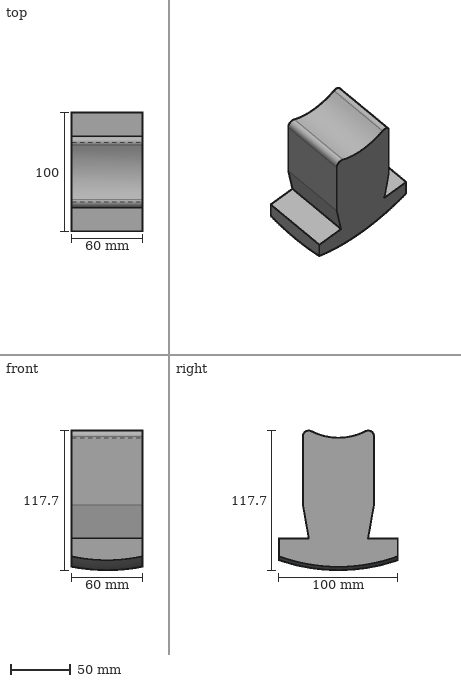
import cadquery as cq
import math

length_x = 60.0
flange_width = 100.0
height = 117.7
body_width = 60.0
neck_width = 50.0
flange_top = 26.8
neck_taper_angle = 10.0
saddle_radius = 50.0
lip_radius = 5.0
base_sphere_radius = 150.0

half_body = body_width / 2
half_neck = neck_width / 2
half_flange = flange_width / 2
taper_height = (half_body - half_neck) / math.tan(math.radians(neck_taper_angle))
taper_top = flange_top + taper_height

lip_y = half_body - lip_radius
lip_z = height - lip_radius
center_distance = saddle_radius + lip_radius
saddle_z = lip_z + math.sqrt(center_distance**2 - lip_y**2)
lip_fraction = lip_radius / center_distance
tangent_y = lip_y * (1 - lip_fraction)
tangent_z = lip_z + (saddle_z - lip_z) * lip_fraction


def make_profile_body():
    """Extrude the YZ profile, flat at the bottom, centered along X."""
    return (
        cq.Workplane("YZ")
        .moveTo(-half_flange, 0)
        .lineTo(half_flange, 0)
        .lineTo(half_flange, flange_top)
        .lineTo(half_neck, flange_top)
        .lineTo(half_body, taper_top)
        .lineTo(half_body, lip_z)
        .threePointArc((lip_y, height), (tangent_y, tangent_z))
        .threePointArc((0, saddle_z - saddle_radius), (-tangent_y, tangent_z))
        .threePointArc((-lip_y, height), (-half_body, lip_z))
        .lineTo(-half_body, taper_top)
        .lineTo(-half_neck, flange_top)
        .lineTo(-half_flange, flange_top)
        .close()
        .extrude(length_x / 2, both=True)
    )


def make_base_sphere():
    """Sphere touching Z = 0, which domes the underside of the flange."""
    return cq.Workplane("XY").sphere(base_sphere_radius).translate((0, 0, base_sphere_radius))


result = make_profile_body().intersect(make_base_sphere())